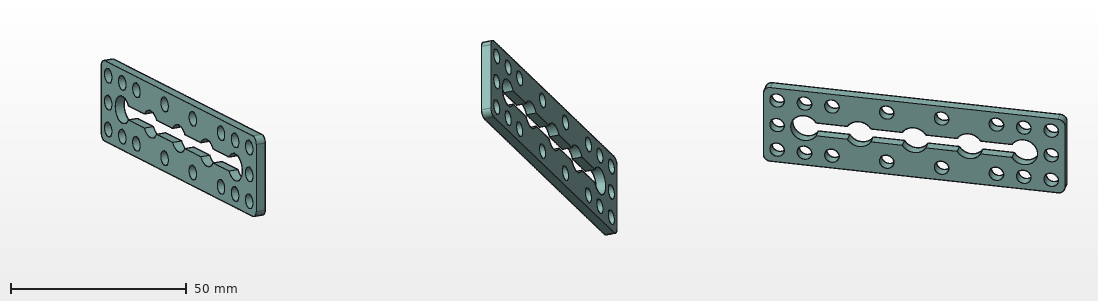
import cadquery as cq

length = 88.0
pitch = length / 11
height = 3 * pitch
thickness = 3.0
corner_radius = 2.0

hole_diameter = 4.2
slot_width = 4.1
lobe_diameter = 8.0

row_columns = (-5, -4, -3, -1, 1, 3, 4, 5)
end_columns = (-5, 5)
lobe_columns = (-4, -2, 0, 2, 4)


def through_cylinders(points, diameter):
    """Cylinders along Y through the full plate thickness."""
    return (
        cq.Workplane("XZ")
        .pushPoints(points)
        .circle(diameter / 2)
        .extrude(thickness / 2, both=True)
    )


plate = cq.Workplane("XY").box(length, thickness, height).edges("|Y").fillet(corner_radius)

hole_points = [(column * pitch, row * pitch) for column in row_columns for row in (-1, 1)]
hole_points += [(column * pitch, 0) for column in end_columns]
holes = through_cylinders(hole_points, hole_diameter)

slot_length = (lobe_columns[-1] - lobe_columns[0]) * pitch
slot = cq.Workplane("XY").box(slot_length, thickness, slot_width)
lobes = through_cylinders([(column * pitch, 0) for column in lobe_columns], lobe_diameter)

result = plate.cut(holes).cut(slot).cut(lobes)